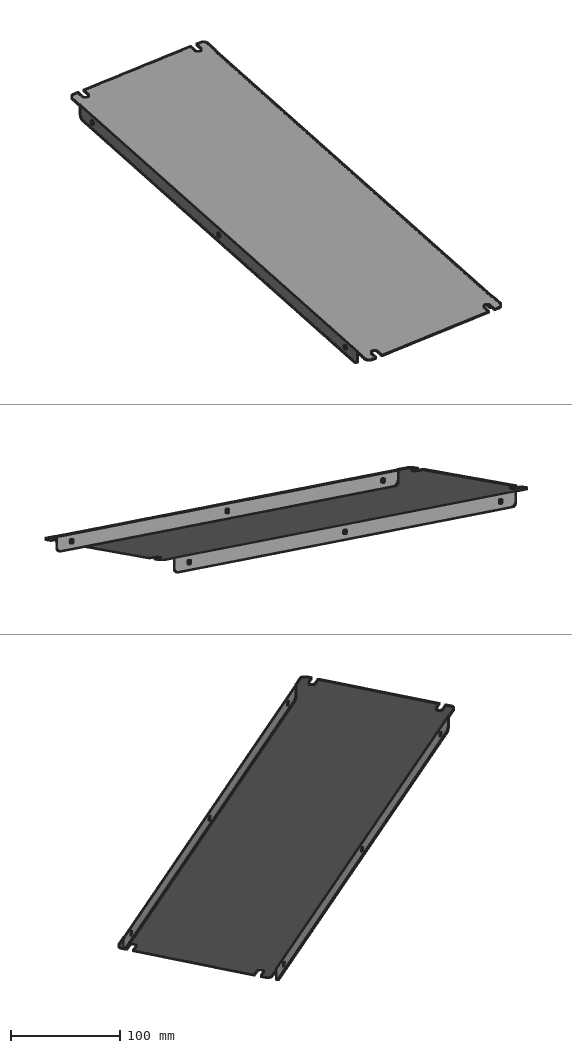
import cadquery as cq

length = 486.5
width = 150.0
height = 15.0
thickness = 1.0
corner_radius = 5.0

flange_length = 452.5
flange_corner_radius = 5.0
bend_radius = thickness

hole_diameter = 4.2
hole_spacing = 206.5
hole_depth_below_top = 8.0

slot_width = 6.5
slot_depth = 10.5
slot_offset = 62.5


def make_plate():
    """Flat plate with rounded corners and its top face at Z = 0."""
    plate = cq.Workplane("XY").box(length, width, thickness, centered=(True, True, False))
    return plate.edges("|Z").fillet(corner_radius).translate((0, 0, -thickness))


def make_channel():
    """Plate web and its two flanges, bent rounded outside and sharp inside."""
    channel = cq.Workplane("XY").box(flange_length, width, height, centered=(True, True, False))
    channel = channel.translate((0, 0, -height))
    channel = channel.edges("|X and >Z").fillet(bend_radius)
    inside = cq.Workplane("XY").box(
        flange_length, width - 2 * thickness, height, centered=(True, True, False)
    )
    channel = channel.cut(inside.translate((0, 0, -height - thickness)))
    return channel.edges("|Y and <Z").fillet(flange_corner_radius)


def make_flange_holes():
    """Cylinders along Y that pass through both flanges."""
    return (
        cq.Workplane("XZ")
        .pushPoints([(x, -hole_depth_below_top) for x in (-hole_spacing, 0, hole_spacing)])
        .circle(hole_diameter / 2)
        .extrude(width, both=True)
    )


def make_end_slots():
    """Round-ended slots that run past both short ends of the plate."""
    centers = [(x, y) for x in (-length / 2, length / 2) for y in (-slot_offset, slot_offset)]
    return (
        cq.Workplane("XY")
        .pushPoints(centers)
        .slot2D(2 * slot_depth, slot_width)
        .extrude(thickness, both=True)
    )


flange_zone = cq.Workplane("XY").box(flange_length, width, height)
plate_ends = make_plate().cut(flange_zone)
result = plate_ends.union(make_channel()).cut(make_flange_holes()).cut(make_end_slots())